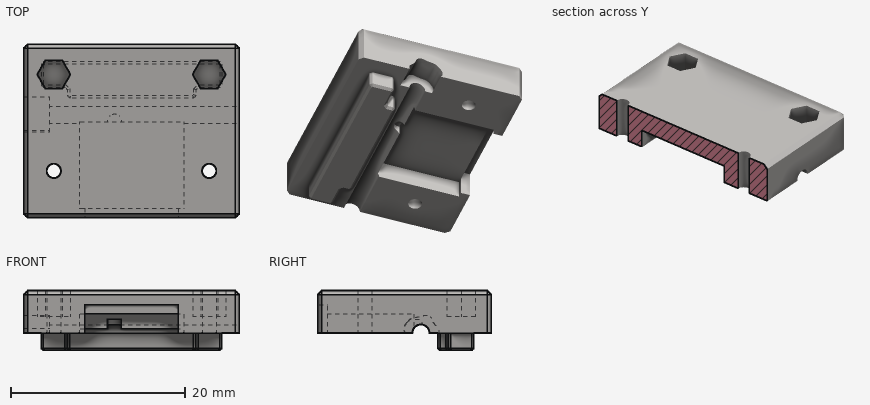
import cadquery as cq

plate_length = 24.8
plate_width = 20.0
plate_height = 4.89
plate_chamfer = 0.5

rib_drop = 2.0
rib_half_length = 10.4
rib_back_y = 7.99
rib_wing_front_y = 5.03
rib_centre_front_y = 3.82
rib_centre_half_length = 7.4
rib_chamfer = 0.27

fastener_x = 8.93
screw_diameter = 1.6
screw_y = -4.6
nut_corner_diameter = 3.82
nut_y = 6.5
nut_depth = 2.98

window_length = 10.75
window_height = 3.25
front_wall = 1.1
cavity_length = 12.03
cavity_height = 2.23
cavity_back_y = 1.05

channel_radius = 0.97
channel_y = 1.88

pin_hole_diameter = 1.6
pin_hole_x = -1.95
pin_hole_y = 1.17
pin_hole_height = 1.59

recess_depth = 2.98
recess_back_y = 3.95
recess_front_y = 0.1
recess_back_wall = 0.55
recess_curve = [
    (3.57, 0.87),
    (3.22, 1.35),
    (3.03, 1.79),
    (2.38, 2.05),
    (1.8, 1.9),
    (0.75, 1.69),
    (0.22, 1.22),
    (-0.1, 0.65),
    (recess_front_y, 0.0),
]

plate_front_y = -plate_width / 2


def box_from_underside(length, front_y, back_y, height):
    """Box centred on X that rises from the underside between two Y positions."""
    return (
        cq.Workplane("XY")
        .box(length, back_y - front_y, height, centered=(True, False, False))
        .translate((0, front_y, 0))
    )


def make_plate():
    plate = box_from_underside(plate_length, plate_front_y, plate_width / 2, plate_height)
    return plate.edges("|Z or >Z").chamfer(plate_chamfer)


def make_rib():
    """T-shaped rib with every corner and the lower rim chamfered."""
    outline = [
        (-rib_half_length, rib_back_y),
        (-rib_half_length, rib_wing_front_y),
        (-rib_centre_half_length, rib_wing_front_y),
        (-rib_centre_half_length, rib_centre_front_y),
        (rib_centre_half_length, rib_centre_front_y),
        (rib_centre_half_length, rib_wing_front_y),
        (rib_half_length, rib_wing_front_y),
        (rib_half_length, rib_back_y),
    ]
    rib = cq.Workplane("XY").polyline(outline).close().extrude(-rib_drop)
    return rib.edges("|Z").chamfer(rib_chamfer).faces("<Z").chamfer(rib_chamfer)


def make_screw_holes():
    return (
        cq.Workplane("XY")
        .pushPoints([(-fastener_x, screw_y), (fastener_x, screw_y)])
        .circle(screw_diameter / 2)
        .extrude(plate_height)
    )


def make_nut_pockets():
    return (
        cq.Workplane("XY", origin=(0, 0, plate_height))
        .pushPoints([(-fastener_x, nut_y), (fastener_x, nut_y)])
        .polygon(6, nut_corner_diameter)
        .extrude(-nut_depth)
    )


def make_cavity():
    """Front window joined to the lower, wider cavity behind the front wall."""
    wall_back_y = plate_front_y + front_wall
    window = box_from_underside(window_length, plate_front_y, wall_back_y, window_height)
    cavity = box_from_underside(cavity_length, wall_back_y, cavity_back_y, cavity_height)
    return window.union(cavity)


def make_channel():
    """Upper half of a cylinder along X, so that the rib stays whole."""
    return (
        cq.Workplane("YZ", origin=(-plate_length / 2, channel_y, 0))
        .moveTo(-channel_radius, 0)
        .threePointArc((0, channel_radius), (channel_radius, 0))
        .close()
        .extrude(plate_length)
    )


def make_pin_hole():
    return (
        cq.Workplane("XY", origin=(pin_hole_x, pin_hole_y, 0))
        .circle(pin_hole_diameter / 2)
        .extrude(pin_hole_height)
    )


def make_recess():
    return (
        cq.Workplane("YZ", origin=(-plate_length / 2, 0, 0))
        .moveTo(recess_back_y, 0)
        .lineTo(recess_back_y, recess_back_wall)
        .spline(recess_curve, includeCurrent=True)
        .close()
        .extrude(recess_depth)
    )


plate = make_plate()
for opening in (
    make_screw_holes(),
    make_nut_pockets(),
    make_cavity(),
    make_channel(),
    make_pin_hole(),
    make_recess(),
):
    plate = plate.cut(opening)

result = plate.union(make_rib())